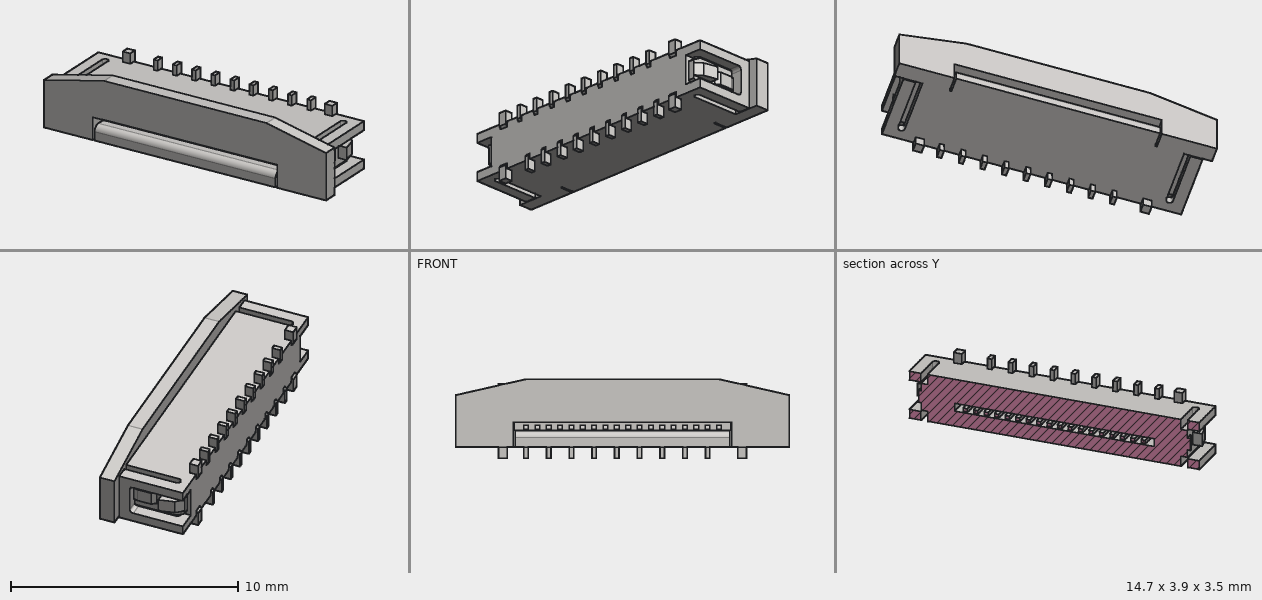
import cadquery as cq
import math


flange_length = 14.7
flange_depth = 0.7
flange_height = 3.0
crown_length = 8.47

housing_length = 13.85
housing_height = 2.3
housing_back = 3.8
mid_height = housing_height / 2

opening_length = 9.6
opening_height = 1.1
cavity_length = 9.51
cavity_back = 2.94
cavity_floor = 0.75
tongue_length = 9.42
tongue_height = 0.72
tongue_radius = 0.32
tongue_shoulder = 0.44

contact_count = 18
pitch = 0.5
contact_width = 0.2
contact_bottom = 0.8
contact_height = 0.18
contact_tip = 1.18
contact_tip_slant = 0.05
lead_length = 0.5
lead_front = 3.5
lead_back = 3.9
lead_shoulder = 2.15
lead_taper = 0.12
anchor_spacing = 10.53
anchor_width = 0.4

slot_centre = 6.2
slot_width = 0.31
slot_back = 3.38
end_gap = 0.05
window_front = 1.25
window_height = 1.41
window_radius = 0.16
arm_height = 1.32
arm_back = 3.65
arm_bevel_run = 0.41
arm_bevel_rise = 0.2

hook_height = 0.6
hook_front = 2.57
hook_knee = 3.28
hook_reach = 0.44
hook_knee_reach = 0.28
bump_back = 2.31
bump_crest_back = 2.09
bump_crest_front = 1.43
bump_front = 0.91
bump_reach = 0.13

slot_inner = slot_centre - slot_width / 2
slot_outer = slot_centre + slot_width / 2
housing_end = housing_length / 2


def block(x_span, y_span, z_span):
    """Box given by its (low, high) limits on each axis."""
    size = [high - low for low, high in (x_span, y_span, z_span)]
    corner = (x_span[0], y_span[0], z_span[0])
    return cq.Workplane("XY").box(*size, centered=False).translate(corner)


def side_profile(points, x_centre, width):
    """Closed (Y, Z) outline extruded along X, centred on x_centre."""
    outline = cq.Workplane("YZ").polyline(points).close()
    return outline.extrude(width / 2, both=True).translate((x_centre, 0, 0))


def make_flange():
    """Front plate with sloping shoulders, notched from below for the cable."""
    half_length = flange_length / 2
    half_crown = crown_length / 2
    outline = [
        (-half_length, 0),
        (half_length, 0),
        (half_length, housing_height),
        (half_crown, flange_height),
        (-half_crown, flange_height),
        (-half_length, housing_height),
    ]
    plate = cq.Workplane("XZ").polyline(outline).close().extrude(-flange_depth)
    half_opening = opening_length / 2
    notch = block((-half_opening, half_opening), (0, flange_depth), (0, opening_height))
    return plate.cut(notch)


def make_tongue():
    """Lower lip in the cable opening, its upper front edge rounded into the level top."""
    arc_centre_z = tongue_height - tongue_radius
    arc_centre_y = math.sqrt(tongue_radius**2 - (tongue_shoulder - arc_centre_z) ** 2)
    diagonal = tongue_radius * math.sqrt(0.5)
    outline = (
        cq.Workplane("YZ")
        .moveTo(0, 0)
        .lineTo(0, tongue_shoulder)
        .threePointArc(
            (arc_centre_y - diagonal, arc_centre_z + diagonal),
            (arc_centre_y, tongue_height),
        )
        .lineTo(flange_depth, tongue_height)
        .lineTo(flange_depth, 0)
        .close()
    )
    return outline.extrude(tongue_length / 2, both=True)


def make_housing():
    """Main block with the cable cavity in its front."""
    body = block((-housing_end, housing_end), (flange_depth, housing_back), (0, housing_height))
    half_cavity = cavity_length / 2
    cavity = block(
        (-half_cavity, half_cavity),
        (flange_depth, cavity_back),
        (cavity_floor, opening_height),
    )
    return body.cut(cavity)


def make_end_cuts():
    """Arm slot, side window and cheek clearance at the +X end."""
    slot = block(
        (slot_inner, slot_outer),
        (flange_depth, slot_back - slot_width / 2),
        (0, housing_height),
    )
    slot_end = (
        cq.Workplane("XY")
        .center(slot_centre, slot_back - slot_width / 2)
        .circle(slot_width / 2)
        .extrude(housing_height)
    )
    window = block(
        (slot_inner, housing_end),
        (window_front, housing_back),
        (mid_height - window_height / 2, mid_height + window_height / 2),
    )
    window = window.edges("|X and <Y").fillet(window_radius)
    gap = block(
        (slot_outer, housing_end),
        (flange_depth, flange_depth + end_gap),
        (0, housing_height),
    )
    return slot.union(slot_end).union(window).union(gap)


def make_arm():
    """Latch arm at the +X end: beveled tip, barbed hook and a low bump."""
    top = mid_height + arm_height / 2
    bottom = mid_height - arm_height / 2
    bevel_start = arm_back - arm_bevel_run
    beam_outline = [
        (flange_depth, bottom),
        (bevel_start, bottom),
        (arm_back, bottom + arm_bevel_rise),
        (arm_back, top - arm_bevel_rise),
        (bevel_start, top),
        (flange_depth, top),
    ]
    beam = side_profile(beam_outline, slot_centre, slot_width)
    hook_outline = [
        (slot_inner, hook_front),
        (slot_outer + hook_reach, hook_front),
        (slot_outer + hook_knee_reach, hook_knee),
        (slot_outer, arm_back),
        (slot_inner, arm_back),
    ]
    bump_outline = [
        (slot_inner, bump_front),
        (slot_outer, bump_front),
        (slot_outer + bump_reach, bump_crest_front),
        (slot_outer + bump_reach, bump_crest_back),
        (slot_outer, bump_back),
        (slot_inner, bump_back),
    ]
    for outline in (hook_outline, bump_outline):
        raised = cq.Workplane("XY").polyline(outline).close().extrude(hook_height)
        beam = beam.union(raised.translate((0, 0, mid_height - hook_height / 2)))
    return beam


def make_contact(x_centre):
    """Contact beam in the cavity with a slanted tip."""
    contact_top = contact_bottom + contact_height
    outline = [
        (contact_tip, contact_bottom),
        (cavity_back, contact_bottom),
        (cavity_back, contact_top),
        (contact_tip + contact_tip_slant, contact_top),
    ]
    return side_profile(outline, x_centre, contact_width)


def make_upper_lead(x_centre, width):
    """Post rising from the back edge, tapering into the back face below."""
    lead_top = housing_height + lead_length
    taper_end = lead_shoulder - lead_taper
    outline = [
        (lead_front, taper_end),
        (housing_back, taper_end),
        (lead_back, lead_shoulder),
        (lead_back, lead_top),
        (lead_front, lead_top),
    ]
    return side_profile(outline, x_centre, width)


def make_lower_lead(x_centre, width):
    """Upper lead mirrored about the housing's mid height."""
    return make_upper_lead(x_centre, width).mirror("XY", (0, 0, mid_height))


end_cuts = make_end_cuts()
result = make_housing().cut(end_cuts).cut(end_cuts.mirror("YZ"))

arm = make_arm()
for piece in (make_flange(), make_tongue(), arm, arm.mirror("YZ")):
    result = result.union(piece)

for index in range(contact_count):
    contact_x = (index - (contact_count - 1) / 2) * pitch
    make_lead = make_lower_lead if index % 2 == 0 else make_upper_lead
    result = result.union(make_contact(contact_x)).union(make_lead(contact_x, contact_width))

for anchor_x in (-anchor_spacing / 2, anchor_spacing / 2):
    result = result.union(make_upper_lead(anchor_x, anchor_width))
    result = result.union(make_lower_lead(anchor_x, anchor_width))